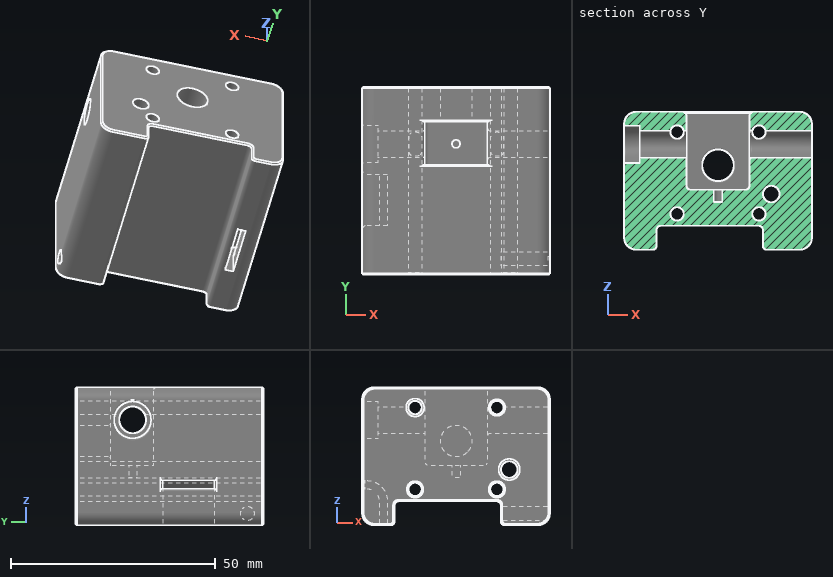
import cadquery as cq
WIDTH = 46.0
DEPTH = 46.0
HEIGHT = 33.8
CORNER_RADIUS = 3.1
END_CHAMFER = 0.4

NOTCH_LEFT = -15.0
NOTCH_RIGHT = 10.95
NOTCH_HEIGHT = 5.9
NOTCH_RADIUS = 1.0

BOLT_SPACING = 20.0
BOLT_CENTER_Z = 18.8
BOLT_DIAMETER = 3.2
BOLT_CHAMFER = 0.4
WIDE_BOLT_CHAMFER = 0.6
SIDE_HOLE_X = 13.0
SIDE_HOLE_Z = 13.65
SIDE_HOLE_DIAMETER = 4.0
SIDE_HOLE_CHAMFER = 0.6

POCKET_LENGTH = 15.35
POCKET_FRONT = 3.95
POCKET_BACK = 14.45
POCKET_FLOOR = 14.7
POCKET_FILLET = 1.0
POCKET_CHAMFER = 0.4
PIN_DIAMETER = 2.0
PIN_DEPTH = 3.0

BORE_Y = 9.0
BORE_Z = 25.8
BORE_DIAMETER = 6.5
COUNTERBORE_DIAMETER = 9.0
COUNTERBORE_DEPTH = 3.8
COUNTERBORE_FILLET = 0.5
BORE_MOUTH_FILLET = 0.6

PORT_X = 0.0
PORT_Z = 20.7
PORT_DIAMETER = 7.7
PORT_FILLET = 0.5

CHANNEL_FRONT = -10.9
CHANNEL_BACK = 1.65
CHANNEL_BOTTOM = 8.95
CHANNEL_HEIGHT = 2.02
CHANNEL_LEAD = 1.2
CHANNEL_INNER_RADIUS = 3.0
CHANNEL_LIP = 0.65

LEG_HOLE_Y = -19.0
LEG_HOLE_Z = 3.0
LEG_HOLE_DIAMETER = 3.4

LEFT = -WIDTH / 2
RIGHT = WIDTH / 2
FRONT = -DEPTH / 2
BACK = DEPTH / 2


def box(x0, x1, y0, y1, z0, z1):
    """Box between the given limits."""
    return cq.Workplane("XY").box(x1 - x0, y1 - y0, z1 - z0, centered=False).translate((x0, y0, z0))


def cylinder(diameter, start, direction, length):
    """Cylinder from a start point along a direction."""
    return cq.Workplane(
        obj=cq.Solid.makeCylinder(diameter / 2, length, cq.Vector(*start), cq.Vector(*direction))
    )


def countersunk_hole(x, z, diameter, chamfer):
    """Through hole along Y with a 45 degree countersink on the -Y face."""
    hole = cylinder(diameter, (x, FRONT, z), (0, 1, 0), DEPTH)
    sink = cq.Solid.makeCone(
        diameter / 2 + chamfer, diameter / 2, chamfer, cq.Vector(x, FRONT, z), cq.Vector(0, 1, 0)
    )
    return hole.union(cq.Workplane(obj=sink))


def rounded_mouth_hole(diameter, start, direction, length, mouth_fillet):
    """Hole whose mouth, at the start point, flares out in a convex round."""
    radius = diameter / 2
    mouth_radius = radius + mouth_fillet
    profile = (
        cq.Workplane("XY")
        .moveTo(0, 0)
        .lineTo(mouth_radius, 0)
        .radiusArc((radius, mouth_fillet), mouth_fillet)
        .lineTo(radius, length)
        .lineTo(0, length)
        .close()
        .revolve(360, (0, 0, 0), (0, 1, 0))
    )
    solid = profile.val()
    if direction == "+X":
        solid = solid.rotate(cq.Vector(0, 0, 0), cq.Vector(0, 0, 1), -90)
    return cq.Workplane(obj=solid.translate(cq.Vector(*start)))


def flared_mouth(length, width, fillet, chamfer):
    """Rim cutter below Z = 0: convex rounds on the Y edges, chamfers on the X edges."""
    half_length = length / 2
    half_width = width / 2
    rounded = (
        cq.Workplane("XZ", origin=(0, half_width + chamfer, 0))
        .moveTo(-half_length - fillet, 0)
        .lineTo(half_length + fillet, 0)
        .radiusArc((half_length, -fillet), -fillet)
        .lineTo(-half_length, -fillet)
        .radiusArc((-half_length - fillet, 0), -fillet)
        .close()
        .extrude(width + 2 * chamfer)
    )
    chamfered = (
        cq.Workplane("YZ", origin=(-half_length - fillet, 0, 0))
        .moveTo(-half_width - chamfer, 0)
        .lineTo(half_width + chamfer, 0)
        .lineTo(half_width, -chamfer)
        .lineTo(half_width, -2 * fillet)
        .lineTo(-half_width, -2 * fillet)
        .lineTo(-half_width, -chamfer)
        .close()
        .extrude(length + 2 * fillet)
    )
    return rounded.intersect(chamfered)


def make_body():
    body = box(LEFT, RIGHT, FRONT, BACK, 0, HEIGHT).edges("|Y").fillet(CORNER_RADIUS)
    notch = box(NOTCH_LEFT, NOTCH_RIGHT, FRONT, BACK, 0, NOTCH_HEIGHT)
    body = body.cut(notch)
    margin = 0.45
    notch_edges = cq.selectors.BoxSelector(
        (NOTCH_LEFT - margin, FRONT, -margin),
        (NOTCH_RIGHT + margin, BACK, NOTCH_HEIGHT + margin),
    )
    body = body.edges("|Y").edges(notch_edges).fillet(NOTCH_RADIUS)
    return body.faces("<Y or >Y").chamfer(END_CHAMFER)


def make_front_holes():
    """Four bolt holes on a square and one larger hole beside them."""
    holes = countersunk_hole(SIDE_HOLE_X, SIDE_HOLE_Z, SIDE_HOLE_DIAMETER, SIDE_HOLE_CHAMFER)
    for x_side in (-1, 1):
        for z_side in (-1, 1):
            x = x_side * BOLT_SPACING / 2
            z = BOLT_CENTER_Z + z_side * BOLT_SPACING / 2
            is_wide = x_side < 0 < z_side
            chamfer = WIDE_BOLT_CHAMFER if is_wide else BOLT_CHAMFER
            holes = holes.union(countersunk_hole(x, z, BOLT_DIAMETER, chamfer))
    return holes


def make_pocket():
    """Rectangular pocket: rounded rim and floor along Y, chamfered rim along X."""
    pocket = box(-POCKET_LENGTH / 2, POCKET_LENGTH / 2, POCKET_FRONT, POCKET_BACK, POCKET_FLOOR, HEIGHT)
    pocket = pocket.faces("<Z").edges("|Y").fillet(POCKET_FILLET)
    rim = flared_mouth(POCKET_LENGTH, POCKET_BACK - POCKET_FRONT, POCKET_FILLET, POCKET_CHAMFER)
    rim = rim.translate((0, (POCKET_FRONT + POCKET_BACK) / 2, HEIGHT))
    pin = cylinder(PIN_DIAMETER, (0, BORE_Y, POCKET_FLOOR), (0, 0, -1), PIN_DEPTH)
    return pocket.union(rim).union(pin)


def make_bore():
    """Bore from the -X face through the pocket to the +X face."""
    bore = cylinder(BORE_DIAMETER, (LEFT, BORE_Y, BORE_Z), (1, 0, 0), WIDTH)
    counterbore = rounded_mouth_hole(
        COUNTERBORE_DIAMETER, (LEFT, BORE_Y, BORE_Z), "+X", COUNTERBORE_DEPTH, COUNTERBORE_FILLET
    )
    pocket_wall = POCKET_LENGTH / 2
    outlet = rounded_mouth_hole(
        BORE_DIAMETER, (pocket_wall, BORE_Y, BORE_Z), "+X", RIGHT - pocket_wall, BORE_MOUTH_FILLET
    )
    return bore.union(counterbore).union(outlet)


def make_port():
    """Port from the pocket's +Y wall to the +Y face."""
    return rounded_mouth_hole(
        PORT_DIAMETER, (PORT_X, POCKET_BACK, PORT_Z), "+Y", BACK - POCKET_BACK, PORT_FILLET
    )


def make_channel():
    """Flat channel that runs inward from the -X face and bends down through the leg."""
    inner = CHANNEL_INNER_RADIUS
    outer = inner + CHANNEL_HEIGHT
    bend_x = LEFT + CHANNEL_LEAD
    bend_z = CHANNEL_BOTTOM - inner
    top = CHANNEL_BOTTOM + CHANNEL_HEIGHT
    length = CHANNEL_BACK - CHANNEL_FRONT
    sweep = (
        cq.Workplane("XZ", origin=(0, CHANNEL_BACK, 0))
        .moveTo(LEFT, top)
        .lineTo(bend_x, top)
        .radiusArc((bend_x + outer, bend_z), outer)
        .lineTo(bend_x + outer, 0)
        .lineTo(bend_x + inner, 0)
        .lineTo(bend_x + inner, bend_z)
        .radiusArc((bend_x, CHANNEL_BOTTOM), -inner)
        .lineTo(LEFT, CHANNEL_BOTTOM)
        .close()
        .extrude(length)
    )
    mouth = flared_mouth(CHANNEL_HEIGHT, length, CHANNEL_LIP, CHANNEL_LIP)
    mouth = mouth.rotate((0, 0, 0), (0, 1, 0), -90)
    mouth = mouth.translate((LEFT, (CHANNEL_FRONT + CHANNEL_BACK) / 2, CHANNEL_BOTTOM + CHANNEL_HEIGHT / 2))
    return sweep.union(mouth)


def make_leg_hole():
    """Hole along X across the +X leg."""
    start = (NOTCH_RIGHT, LEG_HOLE_Y, LEG_HOLE_Z)
    return cylinder(LEG_HOLE_DIAMETER, start, (1, 0, 0), RIGHT - NOTCH_RIGHT)


result = (
    make_body()
    .cut(make_front_holes())
    .cut(make_pocket())
    .cut(make_bore())
    .cut(make_port())
    .cut(make_channel())
    .cut(make_leg_hole())
)